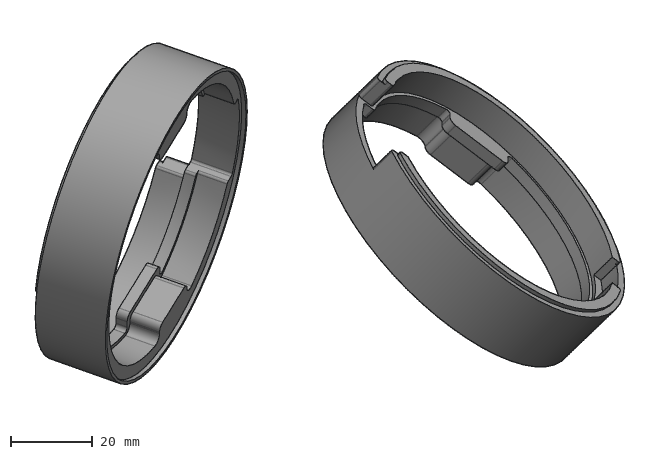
import cadquery as cq
outer_radius = 41.0
width = 20.0
lip_radius = 39.4
lip_length = 1.0
thin_wall_radius = 38.9
front_bore_radius = 36.6
front_depth = 7.8

flange_bore_radius = 35.6
flange_step_length = 3.0
rear_bore_relief = 1.0
rear_pad_relief = 1.55
rear_root_radius = 2.05

socket_radius = 40.2
socket_depth = 1.15

pad_center_y = 0.65
pad_width = 18.95
pad_face_z = 29.35
pad_corner_radius = 1.8
pad_root_radius = 1.0

window_top = 8.4
window_bottom = -19.8
thin_wall_top = 7.3
thin_wall_bottom = -17.7
window_edge_radius = 0.8
thin_wall_edge_radius = 0.8

gap_height = 12.1
gap_depth = 6.8
gap_edge_radius = 0.8

margin = 0.1
side_limit = 24.6
root_limit = 33.2


def disc(radius, start, end):
    return cq.Workplane("YZ").workplane(offset=start).circle(radius).extrude(end - start)


def block(start, end, y_min, y_max, z_min, z_max):
    size = (end - start, y_max - y_min, z_max - z_min)
    return cq.Workplane("XY").box(*size, centered=False).translate((start, y_min, z_min))


def x_edges(solid, y_limits, z_limits):
    """Edges along X whose middle lies within the given Y and Z limits."""
    low = (-0.8, y_limits[0], z_limits[0])
    high = (width + 0.8, y_limits[1], z_limits[1])
    return solid.edges("|X").edges(cq.selectors.BoxSelector(low, high))


def front_ring():
    """Lipped ring, open at the +Y window and thinned at the -Y gap."""
    half_gap = gap_height / 2
    lip = disc(lip_radius, 0, lip_length)
    lip = lip.cut(block(0, lip_length, -outer_radius, 0, -half_gap, half_gap))
    lip_corners = x_edges(lip, (-outer_radius, -side_limit), (-gap_height, gap_height))
    lip = lip_corners.fillet(gap_edge_radius)

    ring = disc(outer_radius, lip_length, front_depth).union(lip)
    ring = ring.cut(disc(front_bore_radius, 0, front_depth))
    ring = ring.cut(block(0, front_depth, 0, outer_radius, window_bottom, window_top))
    window_corners = x_edges(
        ring, (side_limit, outer_radius), (window_bottom - margin, window_top + margin)
    )
    ring = window_corners.fillet(window_edge_radius)

    gap = block(0, gap_depth, -outer_radius, 0, -half_gap, half_gap)
    return ring.cut(gap.intersect(disc(thin_wall_radius, 0, gap_depth)))


def flange_opening(start, end, bore_relief, pad_relief, root_radius):
    """Bore of the flange, with the pads left standing and the thinned wall cleared."""
    opening = disc(flange_bore_radius + bore_relief, start, end)
    half_width = pad_width / 2 - pad_relief
    pad_sides = (pad_center_y - half_width, pad_center_y + half_width)
    face_z = pad_face_z + pad_relief
    for z_limits in ((face_z, outer_radius), (-outer_radius, -face_z)):
        opening = opening.cut(block(start, end, *pad_sides, *z_limits))

    pad_limits = (pad_sides[0] - margin, pad_sides[1] + margin)
    corner_limit = face_z + margin
    opening = x_edges(opening, pad_limits, (-corner_limit, corner_limit)).fillet(pad_corner_radius)
    for z_limits in ((root_limit, outer_radius), (-outer_radius, -root_limit)):
        opening = x_edges(opening, pad_limits, z_limits).fillet(root_radius)

    window = block(start, end, 0, outer_radius, thin_wall_bottom, thin_wall_top)
    opening = opening.union(window.intersect(disc(thin_wall_radius, start, end)))
    window_limits = (thin_wall_bottom - margin, thin_wall_top + margin)
    return x_edges(opening, (side_limit, outer_radius), window_limits).fillet(thin_wall_edge_radius)


def flange():
    """Rear of the ring: stepped bore, pads and the end counterbore."""
    step_end = front_depth + flange_step_length
    body = disc(outer_radius, front_depth, width)
    body = body.cut(flange_opening(front_depth, step_end, 0, 0, pad_root_radius))
    body = body.cut(
        flange_opening(step_end, width, rear_bore_relief, rear_pad_relief, rear_root_radius)
    )
    return body.cut(disc(socket_radius, width - socket_depth, width))


result = front_ring().union(flange())